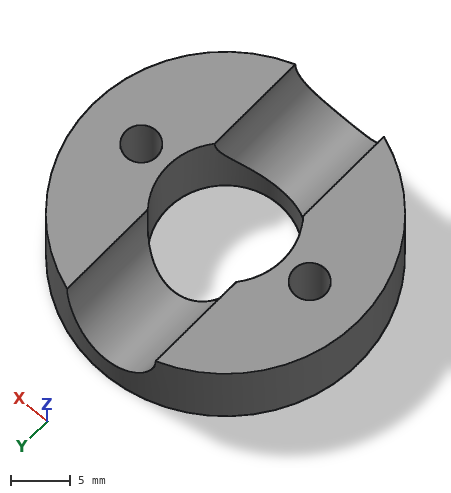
import cadquery as cq

outer_diameter = 30.0
height = 8.0
bore_diameter = 13.0
groove_diameter = 10.0
pin_hole_diameter = 3.5
pin_hole_offset = 9.5

ring = (
    cq.Workplane("XY")
    .circle(outer_diameter / 2)
    .circle(bore_diameter / 2)
    .extrude(height)
)

pin_holes = (
    cq.Workplane("XY")
    .pushPoints([(-pin_hole_offset, 0), (pin_hole_offset, 0)])
    .circle(pin_hole_diameter / 2)
    .extrude(height)
)

groove = (
    cq.Workplane("XZ", origin=(0, 0, height))
    .circle(groove_diameter / 2)
    .extrude(outer_diameter / 2, both=True)
)

result = ring.cut(pin_holes).cut(groove)